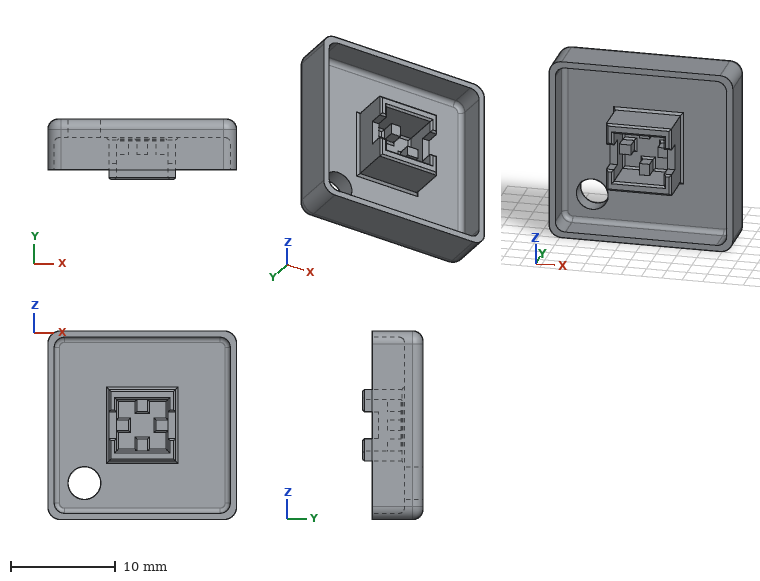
import cadquery as cq

cap_side = 18.08
cap_depth = 4.86
cap_corner_radius = 1.25
back_edge_radius = 1.01
wall = 0.61
floor_thickness = 1.79
cavity_corner_radius = 1.0
cavity_floor_radius = 0.49

hole_radius = 1.55
hole_offset = 5.53

socket_width = 6.4
socket_height = 6.85
socket_overhang = 0.94
edge_chamfer = 0.2
base_flare = 0.24

bore_side = 4.94
bore_depth = 3.89
post_width = 1.01
post_length = 1.15
post_height = 1.46

notch_height = 2.55
notch_depth = 1.55

rim_y = 0.0
back_y = rim_y + cap_depth
floor_y = back_y - floor_thickness
socket_front_y = rim_y - socket_overhang
bore_floor_y = socket_front_y + bore_depth


def block(width, height, front_y, rear_y):
    """Box centred on the Y axis between two Y levels."""
    length = rear_y - front_y
    return cq.Workplane("XY").box(width, length, height).translate((0, front_y + length / 2, 0))


def frustum(front_width, front_height, rear_width, rear_height, front_y, rear_y):
    """Tapered block between two centred rectangles."""
    return (
        cq.Workplane("XZ", origin=(0, front_y, 0))
        .rect(front_width, front_height)
        .workplane(offset=front_y - rear_y)
        .rect(rear_width, rear_height)
        .loft(ruled=True)
    )


def make_shell():
    """Rounded cap, hollowed from the rim and pierced by the corner hole."""
    shell = block(cap_side, cap_side, rim_y, back_y)
    shell = shell.edges("|Y").fillet(cap_corner_radius)
    shell = shell.faces(">Y").edges().fillet(back_edge_radius)

    cavity_side = cap_side - 2 * wall
    cavity = block(cavity_side, cavity_side, rim_y, floor_y)
    cavity = cavity.edges("|Y").fillet(cavity_corner_radius)
    cavity = cavity.faces(">Y").edges().fillet(cavity_floor_radius)

    hole = (
        cq.Workplane("XZ", origin=(0, back_y, 0))
        .center(-hole_offset, -hole_offset)
        .circle(hole_radius)
        .extrude(cap_depth)
    )
    return shell.cut(cavity).cut(hole)


def make_socket_body():
    """Solid block with a chamfered front and a base that flares out onto the floor."""
    body = block(socket_width, socket_height, socket_front_y, floor_y)
    body = body.faces("<Y").edges().chamfer(edge_chamfer)
    flare = frustum(
        socket_width,
        socket_height,
        socket_width + 2 * base_flare,
        socket_height + 2 * base_flare,
        floor_y - base_flare,
        floor_y,
    )
    return body.union(flare)


def make_bore():
    """Bore volume, less a post at the middle of each wall, with its floor edges bevelled."""
    bore = block(bore_side, bore_side, socket_front_y, bore_floor_y)
    for quarter_turn in range(4):
        post = (
            cq.Workplane("XY")
            .box(post_width, post_height, post_length)
            .translate((0, bore_floor_y - post_height / 2, (post_length - bore_side) / 2))
            .rotate((0, 0, 0), (0, 1, 0), 90 * quarter_turn)
        )
        bore = bore.cut(post)
    return bore.faces(">Y").edges().chamfer(edge_chamfer)


def make_entry():
    """Chamfered mouth of the bore."""
    mouth_side = bore_side + 2 * edge_chamfer
    return frustum(
        mouth_side,
        mouth_side,
        bore_side,
        bore_side,
        socket_front_y,
        socket_front_y + edge_chamfer,
    )


def make_notch():
    """Notch across the full socket width, widened by a chamfered mouth."""
    notch = block(socket_width, notch_height, socket_front_y, socket_front_y + notch_depth)
    mouth = frustum(
        socket_width,
        notch_height + 2 * edge_chamfer,
        socket_width,
        notch_height,
        socket_front_y,
        socket_front_y + edge_chamfer,
    )
    return notch.union(mouth)


socket_cuts = [make_bore(), make_entry(), make_notch()]

result = make_shell().union(make_socket_body())
for cut_shape in socket_cuts:
    result = result.cut(cut_shape)